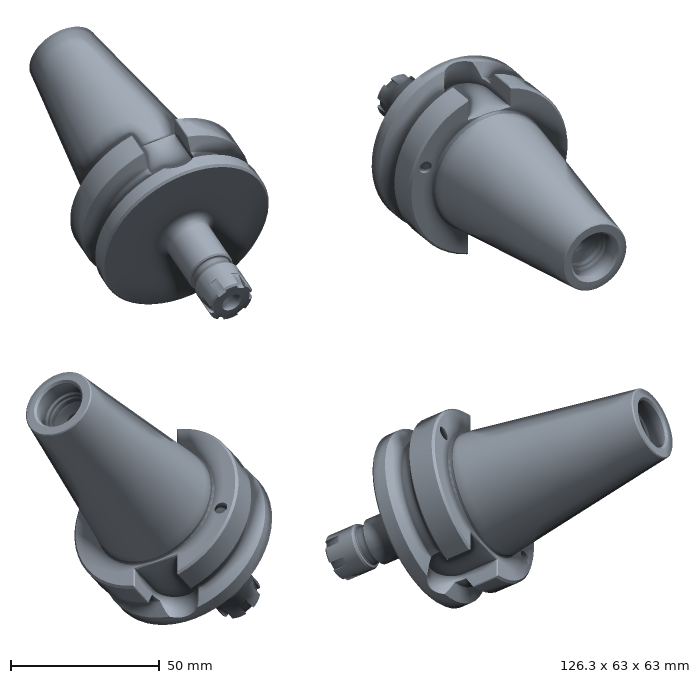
import cadquery as cq
import math

total_length = 126.3

taper_length = 65.8
taper_large_radius = 22.2
taper_ratio = 7 / 24
taper_small_radius = taper_large_radius - taper_length * taper_ratio / 2
taper_end_chamfer = 0.4

relief_depth = 0.1
relief_taper = 0.4
root_fillet = 0.6

flange_back = 67.5
flange_front = 92.3
flange_radius = 31.51
flange_chamfer = 0.8
groove_center = 82.0
groove_radius = 26.5
groove_floor_width = 4.0
groove_flank_angle = 30.0
groove_fillet = 0.5

nose_radius = 8.2
nose_end = 111.1
nose_fillet = 2.9
nose_chamfer = 0.5
neck_radius = 6.8
neck_front = 114.2
neck_fillet = 0.5
spigot_radius = 7.0
spigot_end = 120.0

mouth_radius = 9.3
pilot_radius = 8.6
pilot_end = 6.6
recess_radius = 7.8
recess_start = 7.1
recess_end = 8.1
throat_mouth_radius = 7.2
throat_mouth = 8.5
throat_radius = 6.8
throat_start = 9.9
drill_tip_half_angle = 60.0
passage_radius = 3.5

slot_width = 16.2
slot_floor = 22.7
slot_end = 88.9
slot_chamfer = 0.4

hole_radius = 2.1
hole_circle_radius = 26.8
hole_position_angle = 20.0
hole_tilt = 30.0
hole_depth = 3.8

nut_back = 114.5
nut_radius = 8.2
nut_back_chamfer_length = 0.8
nut_back_chamfer_height = 0.4
nut_front_chamfer = 0.6
wrench_slot_count = 6
wrench_slot_width = 3.2
wrench_slot_start = 120.6
wrench_slot_back_radius = 8.0
wrench_slot_front_radius = 6.6

axis_start = (0, 0, 0)
axis_end = (1, 0, 0)

groove_back = groove_center - groove_floor_width / 2
groove_front = groove_center + groove_floor_width / 2
flank_length = (flange_radius - groove_radius) * math.tan(math.radians(groove_flank_angle))
arc_inset = 1 - math.sqrt(0.5)


def holder_blank():
    """Outside of the holder, turned about the X axis."""
    relief_radius = taper_large_radius - relief_depth
    return (
        cq.Workplane("XZ")
        .moveTo(0, 0)
        .lineTo(0, taper_small_radius - taper_end_chamfer)
        .lineTo(taper_end_chamfer, taper_small_radius)
        .lineTo(taper_length, taper_large_radius)
        .lineTo(taper_length + relief_taper, relief_radius)
        .lineTo(flange_back - root_fillet, relief_radius)
        .threePointArc(
            (flange_back - root_fillet * arc_inset, relief_radius + root_fillet * arc_inset),
            (flange_back, relief_radius + root_fillet),
        )
        .lineTo(flange_back, flange_radius - flange_chamfer)
        .lineTo(flange_back + flange_chamfer, flange_radius)
        .lineTo(groove_back - flank_length, flange_radius)
        .lineTo(groove_back, groove_radius)
        .lineTo(groove_front, groove_radius)
        .lineTo(groove_front + flank_length, flange_radius)
        .lineTo(flange_front - flange_chamfer, flange_radius)
        .lineTo(flange_front, flange_radius - flange_chamfer)
        .lineTo(flange_front, nose_radius + nose_fillet)
        .threePointArc(
            (flange_front + nose_fillet * arc_inset, nose_radius + nose_fillet * arc_inset),
            (flange_front + nose_fillet, nose_radius),
        )
        .lineTo(nose_end - nose_chamfer, nose_radius)
        .lineTo(nose_end, nose_radius - nose_chamfer)
        .lineTo(nose_end, neck_radius + neck_fillet)
        .threePointArc(
            (nose_end + neck_fillet * arc_inset, neck_radius + neck_fillet * arc_inset),
            (nose_end + neck_fillet, neck_radius),
        )
        .lineTo(neck_front, neck_radius)
        .lineTo(neck_front + spigot_radius - neck_radius, spigot_radius)
        .lineTo(spigot_end, spigot_radius)
        .lineTo(spigot_end, 0)
        .close()
        .revolve(360, axis_start, axis_end)
    )


def round_groove_corners(blank):
    """Fillet the two corners where the groove flanks meet its floor."""
    reach = 0.01
    for corner in (groove_back, groove_front):
        near_corner = cq.selectors.BoxSelector(
            (corner - reach, -reach, -reach), (corner + reach, reach, reach)
        )
        blank = blank.edges("%CIRCLE").edges(near_corner).fillet(groove_fillet)
    return blank


def holder_bore():
    """Stepped bore from the small end, closing to the coolant passage with a drill cone."""
    cone_length = (throat_radius - passage_radius) / math.tan(math.radians(drill_tip_half_angle))
    return (
        cq.Workplane("XZ")
        .moveTo(0, 0)
        .lineTo(0, mouth_radius)
        .lineTo(mouth_radius - pilot_radius, pilot_radius)
        .lineTo(pilot_end, pilot_radius)
        .lineTo(recess_start, recess_radius)
        .lineTo(recess_end, recess_radius)
        .lineTo(throat_mouth, throat_mouth_radius)
        .lineTo(throat_start, throat_radius)
        .lineTo(throat_start + cone_length, passage_radius)
        .lineTo(spigot_end, passage_radius)
        .lineTo(spigot_end, 0)
        .close()
        .revolve(360, axis_start, axis_end)
    )


def drive_slot():
    """Round-ended slot through the back of the flange, above the slot floor."""
    half_width = slot_width / 2
    arc_center = slot_end - half_width
    return (
        cq.Workplane("XY")
        .workplane(offset=slot_floor)
        .moveTo(flange_back, -half_width)
        .lineTo(arc_center, -half_width)
        .threePointArc((slot_end, 0), (arc_center, half_width))
        .lineTo(flange_back, half_width)
        .close()
        .extrude(flange_radius - slot_floor)
    )


def slot_back_chamfer():
    """Flared cut that bevels the floor and both sides of the slot at the flange back."""
    height = flange_radius - slot_floor
    return (
        cq.Workplane("YZ", origin=(flange_back, 0, slot_floor + height / 2))
        .rect(slot_width + 2 * slot_chamfer, height + 2 * slot_chamfer)
        .workplane(offset=slot_chamfer)
        .rect(slot_width, height)
        .loft(ruled=True)
    )


def slot_side_chamfers():
    """Prism that bevels the long slot edges along the rim behind the gripper groove."""
    half_width = slot_width / 2
    edge_height = math.sqrt(flange_radius**2 - half_width**2)
    return (
        cq.Workplane("YZ", origin=(flange_back, 0, 0))
        .moveTo(-half_width, edge_height - slot_chamfer)
        .lineTo(half_width, edge_height - slot_chamfer)
        .lineTo(half_width + 2 * slot_chamfer, edge_height + slot_chamfer)
        .lineTo(-half_width - 2 * slot_chamfer, edge_height + slot_chamfer)
        .close()
        .extrude(groove_back - flank_length - flange_back)
    )


def flange_hole(position_angle):
    """Blind hole from the back of the flange, leaning towards the X axis."""
    tilt = math.radians(hole_tilt)
    direction = cq.Vector(math.cos(tilt), -math.sin(tilt), 0)
    mouth = cq.Vector(flange_back, hole_circle_radius, 0)
    lead = 2 * hole_radius
    hole = cq.Solid.makeCylinder(hole_radius, hole_depth + lead, mouth - direction * lead, direction)
    return cq.Workplane(hole).rotate(axis_start, axis_end, position_angle)


def make_holder():
    holder = round_groove_corners(holder_blank()).cut(holder_bore())
    slot_cuts = (drive_slot(), slot_back_chamfer(), slot_side_chamfers())
    for half_turn in (0, 180):
        for slot_cut in slot_cuts:
            holder = holder.cut(slot_cut.rotate(axis_start, axis_end, half_turn))
        holder = holder.cut(flange_hole(hole_position_angle + half_turn))
    return holder


def wrench_slot(angle):
    """Slot in the front rim of the nut, its floor sloping deeper towards the front."""
    return (
        cq.Workplane("XY")
        .moveTo(wrench_slot_start, nut_radius)
        .lineTo(wrench_slot_start, wrench_slot_back_radius)
        .lineTo(total_length, wrench_slot_front_radius)
        .lineTo(total_length, nut_radius)
        .close()
        .extrude(wrench_slot_width / 2, both=True)
        .rotate(axis_start, axis_end, angle)
    )


def make_nut():
    """Nut with a socket for the spigot and a through passage, turned about the X axis."""
    nut = (
        cq.Workplane("XY")
        .moveTo(nut_back, spigot_radius)
        .lineTo(nut_back, nut_radius - nut_back_chamfer_height)
        .lineTo(nut_back + nut_back_chamfer_length, nut_radius)
        .lineTo(total_length - nut_front_chamfer, nut_radius)
        .lineTo(total_length, nut_radius - nut_front_chamfer)
        .lineTo(total_length, passage_radius)
        .lineTo(spigot_end, passage_radius)
        .lineTo(spigot_end, spigot_radius)
        .close()
        .revolve(360, axis_start, axis_end)
    )
    for index in range(wrench_slot_count):
        nut = nut.cut(wrench_slot(index * 360 / wrench_slot_count))
    return nut


holder = make_holder()
nut = make_nut()
result = cq.Compound.makeCompound([holder.val(), nut.val()])